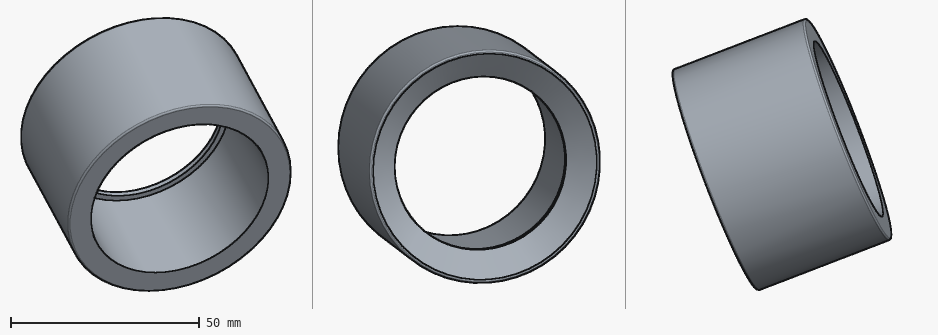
import cadquery as cq

length = 38.0
outer_diameter = 63.0
lip_diameter = 46.75
bore_diameter = 50.0
edge_radius = 0.5
rim_width = 0.5
mouth_depth = 5.35
lip_width = 1.65

outer_radius = outer_diameter / 2
lip_radius = lip_diameter / 2
bore_radius = bore_diameter / 2
mouth_radius = outer_radius - edge_radius - rim_width
lip_end = mouth_depth + lip_width

section = (
    cq.Workplane("XY")
    .moveTo(0, mouth_radius)
    .lineTo(0, outer_radius)
    .lineTo(length, outer_radius)
    .lineTo(length, bore_radius)
    .lineTo(lip_end, bore_radius)
    .lineTo(lip_end, lip_radius)
    .lineTo(mouth_depth, lip_radius)
    .close()
)
ring = section.revolve(360, (0, 0, 0), (1, 0, 0))

outer_edges = cq.selectors.RadiusNthSelector(-1)
result = ring.edges("%CIRCLE").edges(outer_edges).fillet(edge_radius)